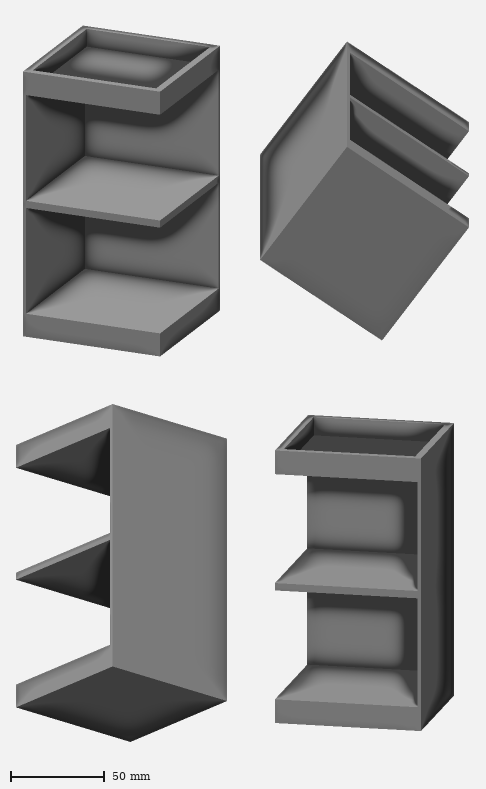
import cadquery as cq

height = 150.0
side = 80.0

bay_count = 2
wall = 2.0
shelf_thickness = 4.0
end_thickness = 13.0

tray_rim = 4.0
tray_depth = 10.0

bay_height = (height - 2 * end_thickness - (bay_count - 1) * shelf_thickness) / bay_count
bay_size = side - wall
tray_size = side - 2 * tray_rim


def bay(floor_z):
    """Open compartment, closed only by the walls on the -X and +Y sides."""
    return (
        cq.Workplane("XY")
        .box(bay_size, bay_size, bay_height, centered=False)
        .translate((wall - side / 2, -side / 2, floor_z))
    )


result = cq.Workplane("XY").box(side, side, height, centered=(True, True, False))

for level in range(bay_count):
    result = result.cut(bay(end_thickness + level * (bay_height + shelf_thickness)))

result = result.faces(">Z").workplane().rect(tray_size, tray_size).cutBlind(-tray_depth)